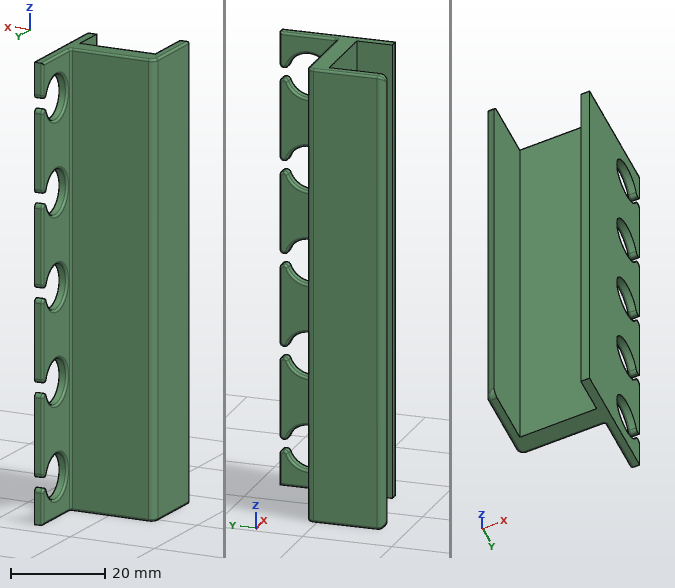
import cadquery as cq
import math

WIDTH = 22.0
DEPTH = 30.3
LENGTH = 102.0

WALL = 2.0
WEB_THICKNESS = 4.4
FLANGE_REACH = 13.0
RIGHT_LEG_REACH = 8.0
FLANGE_LEFT = WIDTH - WALL
LEFT_LEG_TIP = FLANGE_REACH - DEPTH

CORNER_RADIUS = 1.5
INNER_RADIUS = 0.5
EDGE_RADIUS = 0.5

HOLE_COUNT = 5
HOLE_PITCH = 20.9
HOLE_RADIUS = 5.0
HOLE_TO_FLANGE_EDGE = 6.5
MOUTH_WIDTH = 2.3
LIP_RADIUS = 0.9


def make_rail():
    """Extrude the cross-section and round the outer and inner corners on the back of the web."""
    outline = [
        (0, 0),
        (FLANGE_LEFT, 0),
        (FLANGE_LEFT, FLANGE_REACH),
        (WIDTH, FLANGE_REACH),
        (WIDTH, -WEB_THICKNESS - RIGHT_LEG_REACH),
        (FLANGE_LEFT, -WEB_THICKNESS - RIGHT_LEG_REACH),
        (FLANGE_LEFT, -WEB_THICKNESS),
        (WALL, -WEB_THICKNESS),
        (WALL, LEFT_LEG_TIP),
        (0, LEFT_LEG_TIP),
    ]
    rail = cq.Workplane("XY").polyline(outline).close().extrude(LENGTH)
    outer_corner = cq.NearestToPointSelector((0, 0, LENGTH / 2))
    inner_corner = cq.NearestToPointSelector((FLANGE_LEFT, 0, LENGTH / 2))
    return rail.edges(outer_corner).fillet(CORNER_RADIUS).edges(inner_corner).fillet(INNER_RADIUS)


def round_leg_ends(rail):
    """Round the left leg's tip edge and, across the leg, its two end corners."""
    tip_edge = cq.NearestToPointSelector((0, LEFT_LEG_TIP, LENGTH / 2))
    rail = rail.edges(tip_edge).fillet(CORNER_RADIUS)
    envelope = (
        cq.Workplane("XY")
        .box(WIDTH, DEPTH, LENGTH, centered=False)
        .translate((0, LEFT_LEG_TIP, 0))
        .edges("|X and <Y")
        .fillet(CORNER_RADIUS)
    )
    return rail.intersect(envelope)


def cut_clip_holes(rail):
    """Cut the round holes, each open to the flange edge, with rounded lips."""
    hole_y = FLANGE_REACH - HOLE_TO_FLANGE_EDGE
    first_z = (LENGTH - (HOLE_COUNT - 1) * HOLE_PITCH) / 2
    mouth_start_y = hole_y + math.sqrt(HOLE_RADIUS**2 - (MOUTH_WIDTH / 2) ** 2)
    for index in range(HOLE_COUNT):
        z = first_z + index * HOLE_PITCH
        plane = cq.Workplane("YZ", origin=(FLANGE_LEFT, hole_y, z))
        hole = plane.circle(HOLE_RADIUS).extrude(WALL)
        mouth_middle = plane.center(HOLE_TO_FLANGE_EDGE / 2, 0)
        mouth = mouth_middle.rect(HOLE_TO_FLANGE_EDGE, MOUTH_WIDTH).extrude(WALL)
        rail = rail.cut(hole.union(mouth))
        for side in (-1, 1):
            for y in (mouth_start_y, FLANGE_REACH):
                lip = (FLANGE_LEFT + WALL / 2, y, z + side * MOUTH_WIDTH / 2)
                rail = rail.edges(cq.NearestToPointSelector(lip)).fillet(LIP_RADIUS)
    return rail


def round_outer_edges(rail):
    """Round the end edges of the left and back faces, and the flange edge with its holes.

    Each picked edge carries the fillet along the smooth chain of edges it belongs to.
    """
    on_leg_bottom = cq.NearestToPointSelector((0, LEFT_LEG_TIP / 2, 0))
    on_leg_top = cq.NearestToPointSelector((0, LEFT_LEG_TIP / 2, LENGTH))
    between_holes = cq.NearestToPointSelector((FLANGE_LEFT, FLANGE_REACH, LENGTH / 2 + HOLE_PITCH / 2))
    return rail.edges(on_leg_bottom + on_leg_top + between_holes).fillet(EDGE_RADIUS)


rail = make_rail()
rail = round_leg_ends(rail)
rail = cut_clip_holes(rail)
result = round_outer_edges(rail)